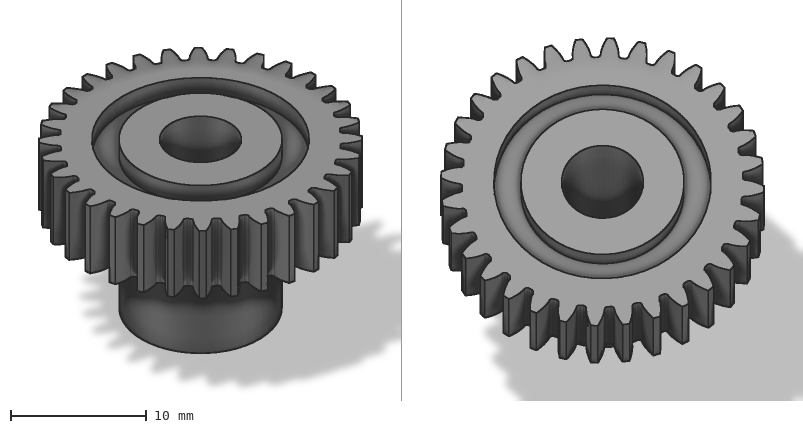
import cadquery as cq
import math

tooth_count = 32
module = 0.7
pressure_angle = math.radians(20)
face_width = 6.0
root_fillet = 0.25
flank_points = 6
addendum = module
dedendum = 1.25 * module

total_height = 15.0
hub_diameter = 12.0
bore_diameter = hub_diameter / 2
recess_diameter = 16.0
recess_depth = 1.5

pitch_radius = module * tooth_count / 2
base_radius = pitch_radius * math.cos(pressure_angle)
tip_radius = pitch_radius + addendum
root_radius = pitch_radius - dedendum
tooth_pitch = 2 * math.pi / tooth_count
gear_bottom = total_height - face_width


def polar(radius, angle):
    return (radius * math.cos(angle), radius * math.sin(angle))


def involute(angle):
    return math.tan(angle) - angle


def half_gap(radius):
    """Half the angle of a tooth gap where its involute flanks cross this radius."""
    flank_angle = math.acos(base_radius / radius)
    return tooth_pitch / 4 - involute(pressure_angle) + involute(flank_angle)


def tooth_gap():
    """A cutter for one gap, centred on the X axis and open beyond the tooth tips."""
    fillet_centre_radius = root_radius + root_fillet
    fillet_centre_angle = half_gap(fillet_centre_radius) - root_fillet / base_radius
    roll_length = math.sqrt(fillet_centre_radius**2 - base_radius**2) - root_fillet
    flank_start_radius = math.hypot(base_radius, roll_length)

    radial_step = (tip_radius - flank_start_radius) / (flank_points - 1)
    radii = [flank_start_radius + i * radial_step for i in range(flank_points)]
    lower_flank = [polar(r, -half_gap(r)) for r in radii]
    upper_flank = [polar(r, half_gap(r)) for r in reversed(radii)]
    cutter_radius = tip_radius + module
    gap_at_tip = half_gap(tip_radius)

    return (
        cq.Workplane("XY", origin=(0, 0, gear_bottom))
        .moveTo(*polar(root_radius, -fillet_centre_angle))
        .radiusArc(lower_flank[0], -root_fillet)
        .spline(lower_flank[1:], includeCurrent=True)
        .lineTo(*polar(cutter_radius, -gap_at_tip))
        .lineTo(*polar(cutter_radius, gap_at_tip))
        .lineTo(*upper_flank[0])
        .spline(upper_flank[1:], includeCurrent=True)
        .radiusArc(polar(root_radius, fillet_centre_angle), -root_fillet)
        .threePointArc((root_radius, 0), polar(root_radius, -fillet_centre_angle))
        .close()
        .extrude(face_width)
    )


def gear_wheel():
    blank = cq.Workplane("XY", origin=(0, 0, gear_bottom)).circle(tip_radius).extrude(face_width)
    gap = tooth_gap().val()
    axis_start = cq.Vector(0, 0, 0)
    axis_end = cq.Vector(0, 0, 1)
    gaps = [
        gap.rotate(axis_start, axis_end, math.degrees(i * tooth_pitch))
        for i in range(tooth_count)
    ]
    return cq.Workplane(blank.val().cut(*gaps))


def top_recess():
    """The ring-shaped recess between the rim and the hub."""
    return (
        cq.Workplane("XY", origin=(0, 0, total_height - recess_depth))
        .circle(recess_diameter / 2)
        .circle(hub_diameter / 2)
        .extrude(recess_depth)
    )


hub = cq.Workplane("XY").circle(hub_diameter / 2).extrude(total_height)
bore = cq.Workplane("XY").circle(bore_diameter / 2).extrude(total_height)

result = gear_wheel().cut(top_recess()).union(hub).cut(bore)